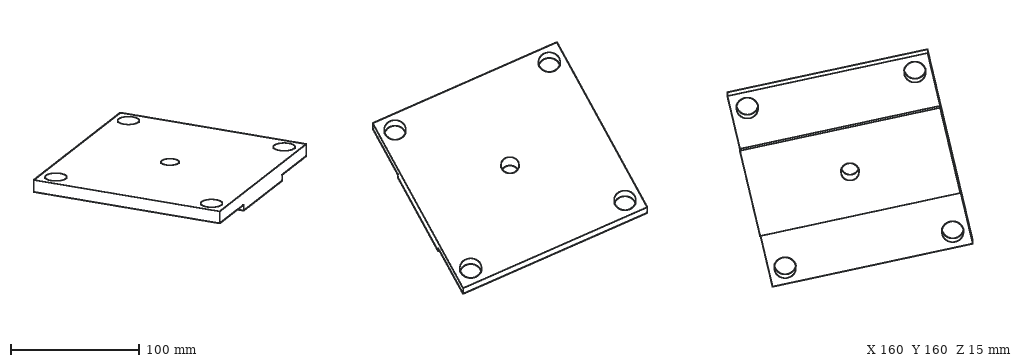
import cadquery as cq

plate_side = 160.0
total_height = 15.0
plate_thickness = 10.0
rib_height = total_height - plate_thickness
rib_width = 71.5

corner_hole_diameter = 17.0
corner_hole_spacing = 134.0
center_hole_diameter = 14.0

rib = cq.Workplane("XY").box(plate_side, rib_width, rib_height, centered=(True, True, False))
plate = (
    cq.Workplane("XY")
    .workplane(offset=rib_height)
    .box(plate_side, plate_side, plate_thickness, centered=(True, True, False))
)
body = plate.union(rib)

corner_holes = (
    cq.Workplane("XY")
    .rect(corner_hole_spacing, corner_hole_spacing, forConstruction=True)
    .vertices()
    .circle(corner_hole_diameter / 2)
    .extrude(total_height)
)
center_hole = cq.Workplane("XY").circle(center_hole_diameter / 2).extrude(total_height)

result = body.cut(corner_holes).cut(center_hole)